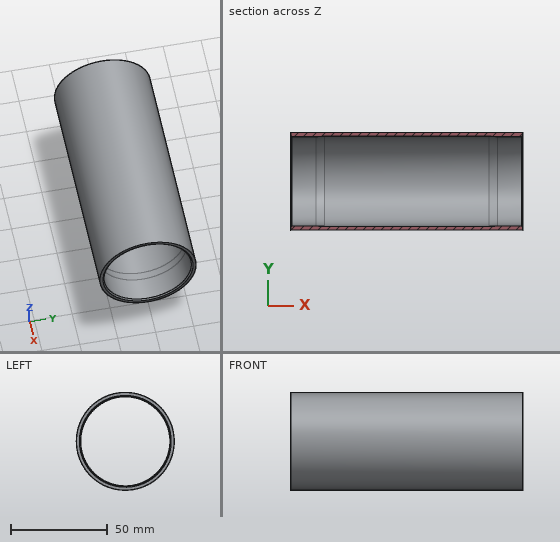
import cadquery as cq

length = 120.0
outer_radius = 50.8 / 2
mouth_radius = 23.8
land_radius = 23.0
bore_radius = 23.3
mouth_depth = 0.7
land_depth = 13.2
taper_length = 4.3

half_length = length / 2
mouth_end = half_length - mouth_depth
land_end = half_length - land_depth
bore_end = land_end - taper_length

wall_section = (
    cq.Workplane("XY")
    .moveTo(-half_length, outer_radius)
    .lineTo(half_length, outer_radius)
    .lineTo(half_length, mouth_radius)
    .lineTo(mouth_end, land_radius)
    .lineTo(land_end, land_radius)
    .lineTo(bore_end, bore_radius)
    .lineTo(-bore_end, bore_radius)
    .lineTo(-land_end, land_radius)
    .lineTo(-mouth_end, land_radius)
    .lineTo(-half_length, mouth_radius)
    .close()
)

result = wall_section.revolve(360, (0, 0, 0), (1, 0, 0))